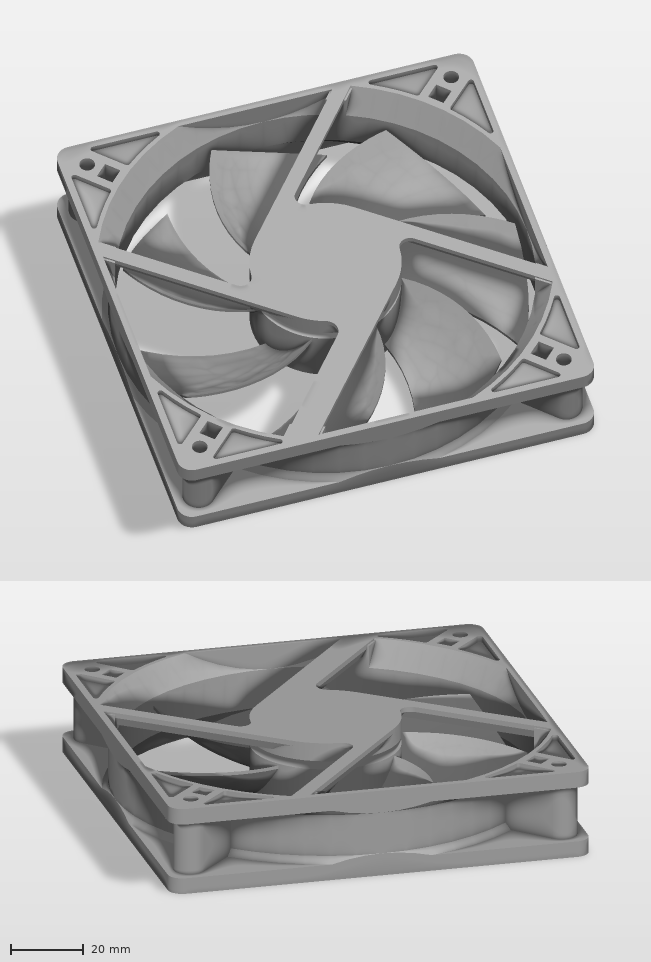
import cadquery as cq
import math

side = 120
height = 25.0
flange_thickness = 4.5
corner_radius = 4.2

bore_radius = 116.0 / 2
duct_radius = 60
flare_radius = 63.0
flare_height = 7.0
collar_radius = 61.7
collar_height = 6.5
opening = 2 * bore_radius

corner_angles = [45, 135, 225, 315]
hole_spacing = 105.0
hole_diameter = 4.3
post_spacing = 106.1
post_radius = 4.5
square_hole = 4.8
square_hole_spacing = 95.5
pocket_rib_half = 4.8
pocket_arc_radius = 64.2
pocket_depth = 1.8
pocket_corner_radius = 0.8

hub_radius = 42 / 2
stator_depth = 5.3
spoke_angle = 51
spoke_width = 4.2
spoke_wall = 1.5
keel_depth = 2.4
keel_inset = 1.2
spoke_fillet = 3.0
gusset_overhang = 0.6
gusset_drop = 0.5
spoke_count = 4
cable_spoke_width = 8.3
cable_spoke_fillet = 3.6
cable_spoke_index = 3
spoke_widths = [cable_spoke_width if i == cable_spoke_index else spoke_width for i in range(spoke_count)]

rotor_bottom = 1.5
rotor_top = 17.3
blade_count = 7
blade_thickness = 1.0
blade_tip_radius = 56.0
blade_root_radius = hub_radius - 0.6
leading_angle_root = 179
leading_angle_tip = 145.5
trailing_angle_root = 137
trailing_angle_tip = 111
leading_height_root = 16.8
leading_height_tip = 16.8
trailing_height_root = 5.3
trailing_height_tip = 2.8
camber_root = 2.6
camber_tip = 2.9
blade_steps = 8


def cylinder(radius, bottom, top):
    return cq.Workplane().workplane(offset=bottom).circle(radius).extrude(top - bottom)


def cone(bottom_radius, top_radius, bottom, top):
    direction = cq.Vector(0, 0, 1)
    solid = cq.Solid.makeCone(bottom_radius, top_radius, top - bottom, cq.Vector(0, 0, bottom), direction)
    return cq.Workplane(solid)


def square_block(width, bottom, top):
    return cq.Workplane().workplane(offset=bottom).rect(width, width).extrude(top - bottom)


def end_flares():
    """Conical openings at both ends of the duct."""
    lower = cone(flare_radius, bore_radius, 0, flare_height)
    upper = cone(bore_radius, flare_radius, height - flare_height, height)
    return lower, upper


def duct_collars():
    """Conical collars where the outside of the duct meets the flanges."""
    lower = cone(collar_radius, duct_radius, flange_thickness, collar_height)
    upper = cone(duct_radius, collar_radius, height - collar_height, height - flange_thickness)
    return lower, upper


def flange(bottom):
    return square_block(side, bottom, bottom + flange_thickness).edges("|Z").fillet(corner_radius)


def corner_web(angle):
    """Rounded post behind a screw hole and the web that ties it to the duct."""
    reach = post_spacing / math.sqrt(2)
    web = (
        cq.Workplane()
        .center((reach + bore_radius) / 2, 0)
        .rect(reach - bore_radius, 2 * post_radius)
        .extrude(height)
    )
    post = cq.Workplane().center(reach, 0).circle(post_radius).extrude(height)
    return web.union(post).rotate((0, 0, 0), (0, 0, 1), angle)


def corner_holes():
    round_holes = (
        cq.Workplane().rect(hole_spacing, hole_spacing, forConstruction=True).vertices()
        .circle(hole_diameter / 2).extrude(height)
    )
    square_holes = (
        cq.Workplane().rect(square_hole_spacing, square_hole_spacing, forConstruction=True).vertices()
        .polygon(4, square_hole * math.sqrt(2)).extrude(height)
    )
    return round_holes.union(square_holes)


def pocket():
    """Shallow recess beside the diagonal rib of the +X +Y corner, along the +Y rim."""
    rib_offset = pocket_rib_half * math.sqrt(2)
    floor = height - pocket_depth
    edge = opening / 2
    triangle = (
        cq.Workplane().workplane(offset=floor)
        .polyline([(0, rib_offset), (edge - rib_offset, edge), (0, edge)]).close().extrude(pocket_depth)
    )
    recess = triangle.cut(cylinder(pocket_arc_radius, floor, height))
    return recess.edges("|Z").fillet(pocket_corner_radius)


def spoke_plate(width):
    """A spoke that runs along X, tangent to the hub on one side and filleted into it on the other."""
    fillet_radius = cable_spoke_fillet if width == cable_spoke_width else spoke_fillet
    spoke_inner = hub_radius - width
    fillet_y = spoke_inner - fillet_radius
    fillet_distance = hub_radius + fillet_radius
    fillet_x = math.sqrt(fillet_distance**2 - fillet_y**2)
    on_hub = hub_radius / fillet_distance
    hub_contact = (fillet_x * on_hub, fillet_y * on_hub)
    return (
        cq.Workplane().workplane(offset=height - spoke_wall)
        .lineTo(0, hub_radius)
        .lineTo(side, hub_radius)
        .lineTo(side, spoke_inner)
        .lineTo(fillet_x, spoke_inner)
        .radiusArc(hub_contact, -fillet_radius)
        .close()
        .extrude(spoke_wall)
    )


def spoke_keel(width):
    """Tapered underside of a spoke."""
    spoke_inner = hub_radius - width
    top = height - spoke_wall
    return (
        cq.Workplane("YZ")
        .polyline([
            (spoke_inner, top),
            (hub_radius, top),
            (hub_radius - keel_inset, top - keel_depth),
            (spoke_inner + keel_inset, top - keel_depth),
        ])
        .close()
        .extrude(side)
    )


def spoke_gusset(width):
    """Block that carries the end of a spoke inside the flare."""
    bottom = height - flare_height
    return (
        cq.Workplane("YZ")
        .center(hub_radius - width / 2, 0)
        .rect(width + 2 * gusset_overhang, 2 * (height - gusset_drop))
        .extrude(side)
        .intersect(square_block(2 * side, bottom, height))
    )


def around_spokes(make_section):
    """One section per spoke, each turned to the direction of its spoke."""
    sections = cq.Workplane()
    for index, width in enumerate(spoke_widths):
        angle = spoke_angle + index * 360 / spoke_count
        sections = sections.add(make_section(width).rotate((0, 0, 0), (0, 0, 1), angle))
    return sections.combine()


def make_housing():
    envelope = square_block(side, 0, height).edges("|Z").fillet(corner_radius)
    body = cylinder(duct_radius, 0, height)
    for collar in duct_collars():
        body = body.union(collar)
    body = body.intersect(envelope)
    body = body.union(flange(0)).union(flange(height - flange_thickness))
    for angle in corner_angles:
        body = body.union(corner_web(angle))
    opening_block = square_block(opening, 0, height)
    lower_flare, upper_flare = end_flares()
    inside = opening_block.intersect(upper_flare)
    body = body.cut(inside).cut(opening_block.intersect(lower_flare))
    body = body.union(around_spokes(spoke_gusset).intersect(inside))
    body = body.cut(cylinder(bore_radius, 0, height)).cut(corner_holes())
    for angle in corner_angles:
        recess = pocket().rotate((0, 0, 0), (0, 0, 1), angle - corner_angles[0])
        body = body.cut(recess).cut(recess.mirror("XZ"))
    stator = cylinder(hub_radius, height - stator_depth, height)
    spider = around_spokes(spoke_plate).union(around_spokes(spoke_keel).intersect(inside))
    return body.union(spider.intersect(inside).union(stator))


def blade_point(across, chord):
    """Point of the blade's top: across runs root to tip, chord runs leading to trailing edge."""
    def between(start, end, share):
        return start + (end - start) * share

    radius = between(blade_root_radius, blade_tip_radius, across)
    leading_angle = between(leading_angle_root, leading_angle_tip, across)
    trailing_angle = between(trailing_angle_root, trailing_angle_tip, across)
    angle = math.radians(between(leading_angle, trailing_angle, chord))
    leading_height = between(leading_height_root, leading_height_tip, across)
    trailing_height = between(trailing_height_root, trailing_height_tip, across)
    sag = 4 * between(camber_root, camber_tip, across) * chord * (1 - chord)
    z = between(leading_height, trailing_height, chord) - sag
    return cq.Vector(radius * math.cos(angle), radius * math.sin(angle), z)


def make_blade():
    shares = [step / blade_steps for step in range(blade_steps + 1)]
    top_face = cq.Face.makeSplineApprox([[blade_point(a, c) for c in shares] for a in shares])
    return cq.Workplane(cq.Solid.extrudeLinear(top_face, cq.Vector(0, 0, -blade_thickness)))


def make_rotor():
    rotor = cylinder(hub_radius, rotor_bottom, rotor_top)
    blade = make_blade()
    for index in range(blade_count):
        rotor = rotor.union(blade.rotate((0, 0, 0), (0, 0, 1), index * 360 / blade_count))
    return rotor


housing = make_housing()
rotor = make_rotor()
result = cq.Compound.makeCompound([housing.val(), rotor.val()])